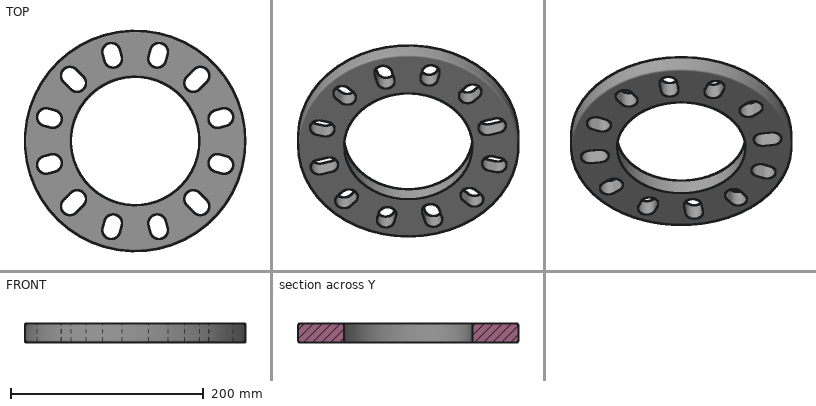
import cadquery as cq

outer_diameter = 229.0
bore_diameter = 133.0
thickness = 20.0
edge_radius = 2.0

slot_count = 12
slot_angle_step = 360.0 / slot_count
first_slot_angle = slot_angle_step / 2
slots_per_quadrant = slot_count // 4
diagonal_slot_position = slots_per_quadrant // 2
slot_width = 18.3
outer_bolt_radius = 95.7
inner_bolt_radius = 88.5
diagonal_inner_bolt_radius = 85.2


def make_ring():
    """Flat ring with rounded edges, except for the sharp lower edge of the bore."""
    ring = cq.Workplane("XY").circle(outer_diameter / 2).circle(bore_diameter / 2)
    ring = ring.extrude(thickness)
    ring = ring.faces(">Z").edges().fillet(edge_radius)
    outer_rim = cq.selectors.RadiusNthSelector(-1)
    return ring.faces("<Z").edges(outer_rim).fillet(edge_radius)


def make_slot(inner_radius):
    """Round-ended through slot lying along +X."""
    centre = (inner_radius + outer_bolt_radius) / 2
    length = outer_bolt_radius - inner_radius + slot_width
    return cq.Workplane("XY").center(centre, 0).slot2D(length, slot_width).extrude(thickness)


result = make_ring()
for index in range(slot_count):
    is_diagonal = index % slots_per_quadrant == diagonal_slot_position
    inner_radius = diagonal_inner_bolt_radius if is_diagonal else inner_bolt_radius
    angle = first_slot_angle + index * slot_angle_step
    result = result.cut(make_slot(inner_radius).rotate((0, 0, 0), (0, 0, 1), angle))